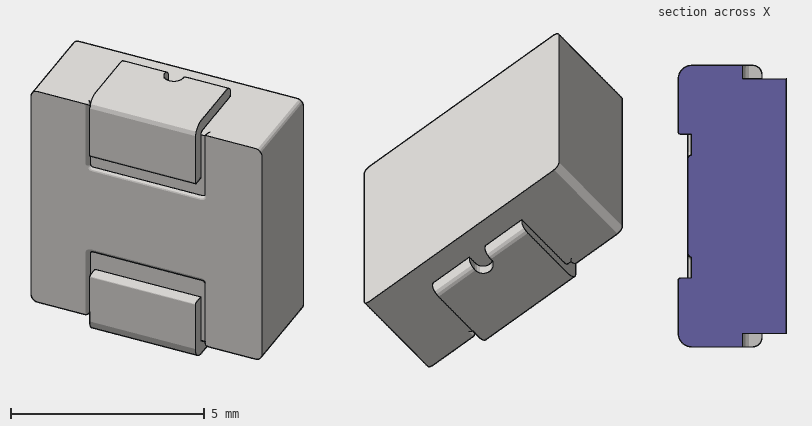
import cadquery as cq

total_height = 7.3
body_side = 6.6
body_depth = 2.555
body_corner_radius = 0.2

terminal_width = 3.02
terminal_thickness = (total_height - body_side) / 2
terminal_protrusion = 0.25
terminal_depth = 2.175
leg_height = 1.79
bend_radius = 0.36
back_edge_radius = 0.255
leg_tip_radius = 0.06
notch_width = 0.525
notch_depth = 0.505

pocket_width = 3.505
pocket_height = 2.09
pocket_depth = 0.09
mouth_radius = 0.12
pocket_corner_radius = 0.07
rough_depth = 0.18

flare_height = 0.08
flare_depth = 0.22

half_side = body_side / 2
pocket_floor_width = pocket_width - 2 * mouth_radius
flare_bottom = half_side - flare_height


def flare_radius(run):
    """Radius of an arc that leaves the end face tangentially and drops by the flare height."""
    return (run**2 + flare_height**2) / (2 * flare_height)


def make_body():
    body = cq.Workplane("XY").box(body_side, body_depth, body_side, centered=(True, False, True))
    return body.edges("|Y").fillet(body_corner_radius)


def cut_pocket(body):
    """Cut the upper pocket with a rounded mouth and a flat floor."""
    end_z = half_side - pocket_height
    floor_end_z = end_z + mouth_radius
    overrun = 0.365
    rough_height = half_side + overrun - floor_end_z
    rough = (
        cq.Workplane("XY")
        .box(pocket_floor_width, rough_depth, rough_height, centered=(True, False, False))
        .translate((0, 0, floor_end_z))
        .edges("|Y and <Z")
        .fillet(pocket_corner_radius)
    )
    slack = 0.01
    mouth_box = cq.selectors.BoxSelector(
        (-pocket_width / 2, -slack, end_z),
        (pocket_width / 2, slack, half_side - slack),
    )
    body = body.cut(rough).edges(mouth_box).fillet(mouth_radius)
    floor = (
        cq.Workplane("XY")
        .box(pocket_width, rough_depth, pocket_height, centered=(True, False, False))
        .translate((0, pocket_depth, end_z))
    )
    return body.union(floor)


def make_flare():
    """Opening that widens and deepens towards the top face along convex arcs."""
    half_top = pocket_width / 2
    half_bottom = pocket_floor_width / 2
    side_radius = flare_radius(mouth_radius)
    depth_radius = flare_radius(flare_depth - pocket_depth)
    across = (
        cq.Workplane("XZ")
        .moveTo(-half_top, half_side)
        .lineTo(half_top, half_side)
        .radiusArc((half_bottom, flare_bottom), -side_radius)
        .lineTo(-half_bottom, flare_bottom)
        .radiusArc((-half_top, half_side), -side_radius)
        .close()
        .extrude(-flare_depth)
    )
    inward = (
        cq.Workplane("YZ")
        .moveTo(0, half_side)
        .lineTo(flare_depth, half_side)
        .radiusArc((pocket_depth, flare_bottom), -depth_radius)
        .lineTo(0, flare_bottom)
        .close()
        .extrude(half_top, both=True)
    )
    return across.intersect(inward)


def make_terminal():
    """Upper terminal: an L-shaped strip that follows the flared edge, notched at the back."""
    top_z = total_height / 2
    front_y = -terminal_protrusion
    back_y = front_y + terminal_depth
    leg_end_z = top_z - leg_height
    strip = (
        cq.Workplane("YZ")
        .moveTo(front_y, top_z)
        .lineTo(back_y, top_z)
        .lineTo(back_y, half_side)
        .lineTo(flare_depth, half_side)
        .radiusArc((pocket_depth, flare_bottom), -flare_radius(flare_depth - pocket_depth))
        .lineTo(pocket_depth, leg_end_z)
        .lineTo(front_y, leg_end_z)
        .close()
        .extrude(terminal_width / 2, both=True)
    )
    strip = strip.edges("|X and >Z and <Y").fillet(bend_radius)
    strip = strip.edges("|X and >Z and >Y").fillet(back_edge_radius)
    strip = strip.edges("|X and <Z and <Y").fillet(leg_tip_radius)

    notch_radius = notch_width / 2
    notch_centre_y = back_y - notch_depth + notch_radius
    notch = (
        cq.Workplane("XY", origin=(0, 0, half_side))
        .moveTo(-notch_radius, back_y)
        .lineTo(-notch_radius, notch_centre_y)
        .threePointArc((0, back_y - notch_depth), (notch_radius, notch_centre_y))
        .lineTo(notch_radius, back_y)
        .close()
        .extrude(terminal_thickness)
    )
    return strip.cut(notch)


finished = cut_pocket(make_body()).cut(make_flare()).union(make_terminal())
half_space = cq.Workplane("XY").box(2 * body_side, 4 * body_depth, total_height, centered=(True, True, False))
upper_half = finished.intersect(half_space)
result = upper_half.union(upper_half.mirror("XY"))